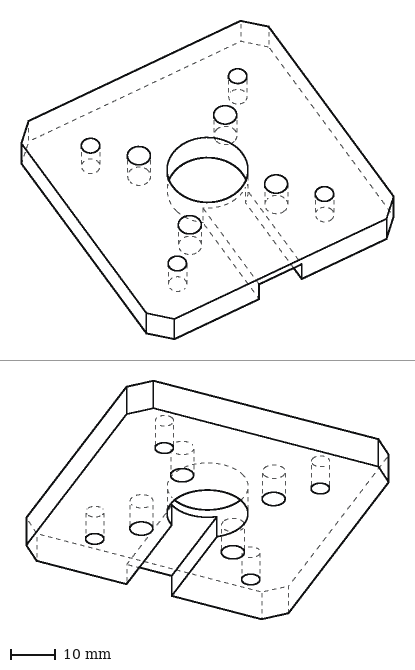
import cadquery as cq

side = 63.8
thickness = 7.5
corner_chamfer = 4.5

bore_diameter = 18.0
inner_hole_diameter = 5.1
inner_hole_spacing = 22.25
outer_hole_diameter = 4.1
outer_hole_spacing = 37.95

channel_width = 11.0
channel_depth = channel_width / 2


def drill_square_pattern(plate, spacing, diameter):
    """Drill four through holes at the corners of a centred square."""
    return (
        plate.faces(">Z")
        .workplane(origin=(0, 0, thickness))
        .rect(spacing, spacing, forConstruction=True)
        .vertices()
        .hole(diameter)
    )


plate = cq.Workplane("XY").box(side, side, thickness, centered=(True, True, False))
plate = plate.edges("|Z").chamfer(corner_chamfer)

plate = plate.faces(">Z").workplane(origin=(0, 0, thickness)).hole(bore_diameter)
plate = drill_square_pattern(plate, inner_hole_spacing, inner_hole_diameter)
plate = drill_square_pattern(plate, outer_hole_spacing, outer_hole_diameter)

channel = cq.Workplane("XY").box(
    side / 2, channel_width, channel_depth, centered=(False, True, False)
)
result = plate.cut(channel)